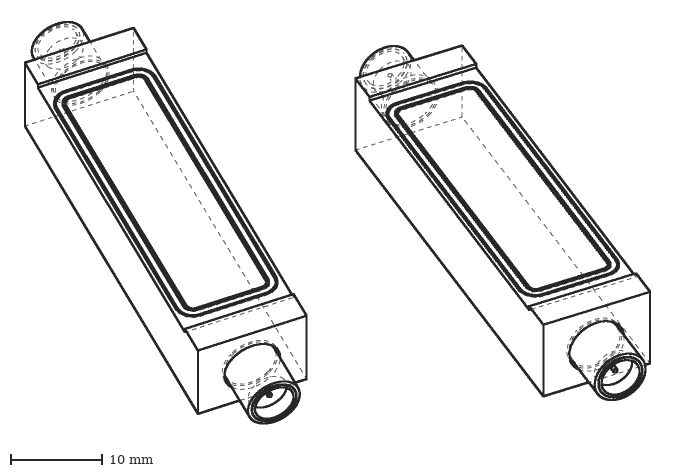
import cadquery as cq

total_length = 59.2
body_width = 13.0
body_height = 10.2

connector_length = 6.0
connector_diameter = 6.2
connector_axis_height = 4.8
clearance_diameter = 6.7
clearance_depth = 0.6
sleeve_diameter = 5.3
sleeve_protrusion = 0.1

socket_diameter = 4.6
socket_depth = 1.85
pin_diameter = 0.5
pin_length = 0.6

land_length = 3.55
lid_drop = 0.55

groove_depth = 0.2
outer_groove = (36.8, 11.95, 2.0, 0.2)
inner_groove = (35.05, 10.1, 1.1, 0.3)

body_length = total_length - 2 * connector_length
body_end = body_length / 2
lid_level = body_height - lid_drop


def cylinder_along_x(start_x, diameter, length):
    """Cylinder on the connector axis, running from start_x toward +X."""
    plane = cq.Workplane("YZ", origin=(start_x, 0, connector_axis_height))
    return plane.circle(diameter / 2).extrude(length)


def rounded_block(length, width, corner_radius):
    """Rounded rectangle reaching down from the lid surface by the groove depth."""
    block = cq.Workplane("XY", origin=(0, 0, lid_level)).rect(length, width).extrude(-groove_depth)
    return block.edges("|Z").fillet(corner_radius)


def lid_groove(length, width, corner_radius, groove_width):
    """Closed groove of constant width with rounded corners."""
    outside = rounded_block(length, width, corner_radius)
    inside = rounded_block(length - 2 * groove_width, width - 2 * groove_width, corner_radius - groove_width)
    return outside.cut(inside)


def make_body():
    """Rectangular housing with the lid area lowered between the end lands."""
    body = cq.Workplane("XY").box(body_length, body_width, body_height, centered=(True, True, False))
    lid_length = body_length - 2 * land_length
    lid_pocket = cq.Workplane("XY", origin=(0, 0, lid_level)).box(
        lid_length, body_width, lid_drop, centered=(True, True, False)
    )
    body = body.cut(lid_pocket)
    for groove in (outer_groove, inner_groove):
        body = body.cut(lid_groove(*groove))
    for start_x in (-body_end, body_end - clearance_depth):
        body = body.cut(cylinder_along_x(start_x, clearance_diameter, clearance_depth))
    return body


def make_connector():
    """Hollow connector on the -X end: outer shell, protruding inner sleeve and centre pin."""
    start_x = -total_length / 2
    inner_end = connector_length + clearance_depth
    shell = cylinder_along_x(start_x + sleeve_protrusion, connector_diameter, inner_end - sleeve_protrusion)
    sleeve = cylinder_along_x(start_x, sleeve_diameter, inner_end)
    socket = cylinder_along_x(start_x, socket_diameter, socket_depth)
    pin = cylinder_along_x(start_x + socket_depth - pin_length, pin_diameter, pin_length)
    return shell.union(sleeve).cut(socket).union(pin)


connector = make_connector()
result = make_body().union(connector).union(connector.mirror("YZ"))